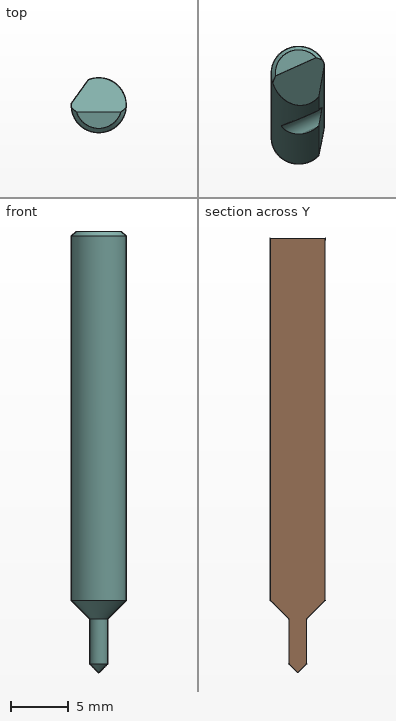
import cadquery as cq
import math

total_length = 38.1
shank_radius = 2.38
neck_radius = 0.78
neck_top_z = 4.65
chamfer = 0.4
tip_height = neck_radius
shoulder_z = neck_top_z + shank_radius - neck_radius

flat_distance = 2.02
flat_normal_angle = 144.3

bevel_start_y = -0.57

notch_bottom_z = 21.1
notch_radius = 1.2
notch_depth = 1.3
notch_ramp_angle = 10.0

clearance = 1.9
cut_width = 2 * (shank_radius + clearance)


def make_body():
    """Revolve the pointed pin, shoulder and chamfered shank."""
    return (
        cq.Workplane("XZ")
        .moveTo(0, 0)
        .lineTo(neck_radius, tip_height)
        .lineTo(neck_radius, neck_top_z)
        .lineTo(shank_radius, shoulder_z)
        .lineTo(shank_radius, total_length - chamfer)
        .lineTo(shank_radius - chamfer, total_length)
        .lineTo(0, total_length)
        .close()
        .revolve(360, (0, 0, 0), (0, 1, 0))
    )


def make_flat_cutter():
    """Block whose inner face is the side flat."""
    return (
        cq.Workplane("XY")
        .box(cut_width, cut_width, total_length, centered=(False, True, False))
        .translate((flat_distance, 0, 0))
        .rotate((0, 0, 0), (0, 0, 1), flat_normal_angle)
    )


def make_bevel_cutter():
    """Triangular wedge above the 45 degree top bevel."""
    outer_y = shank_radius + clearance
    inner_y = bevel_start_y - clearance
    return (
        cq.Workplane("YZ")
        .moveTo(inner_y, total_length + bevel_start_y - inner_y)
        .lineTo(outer_y, total_length + bevel_start_y - inner_y)
        .lineTo(outer_y, total_length + bevel_start_y - outer_y)
        .close()
        .extrude(cut_width / 2, both=True)
    )


def make_notch_cutter():
    """Notch with a round floor that runs tangentially into a sloping ramp."""
    ramp = math.radians(notch_ramp_angle)
    center_y = shank_radius - notch_depth + notch_radius
    center_z = notch_bottom_z + notch_radius
    ramp_start_y = center_y - notch_radius * math.cos(ramp)
    ramp_start_z = center_z + notch_radius * math.sin(ramp)
    arc_mid = notch_radius * math.sqrt(0.5)
    outer_y = shank_radius + clearance
    ramp_end_z = ramp_start_z + (outer_y - ramp_start_y) / math.tan(ramp)
    return (
        cq.Workplane("YZ")
        .moveTo(outer_y, notch_bottom_z)
        .lineTo(center_y, notch_bottom_z)
        .threePointArc((center_y - arc_mid, center_z - arc_mid), (ramp_start_y, ramp_start_z))
        .lineTo(outer_y, ramp_end_z)
        .close()
        .extrude(cut_width / 2, both=True)
    )


result = (
    make_body()
    .cut(make_flat_cutter())
    .cut(make_bevel_cutter())
    .cut(make_notch_cutter())
)